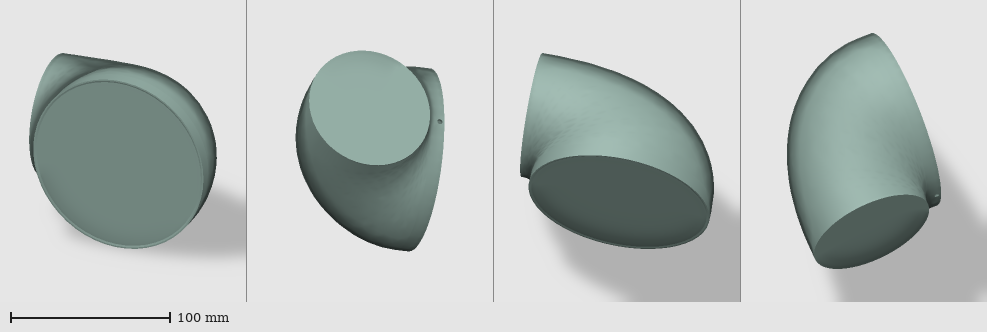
import cadquery as cq

band_diameter = 116.0
band_length = 8.6
band_radius = band_diameter / 2

total_length = 123.5
total_depth = 90.5
collar_diameter = 79.0
collar_length = 1.5
collar_radius = collar_diameter / 2
collar_face_x = band_radius - total_length
collar_inner_x = collar_face_x + collar_length
collar_center_y = total_depth - collar_radius

recess_floor_diameter = 112.0
recess_mouth_diameter = 114.1
recess_depth = 0.5

hole_diameter = 3.3
hole_y = 3.0
hole_depth = (band_diameter - recess_floor_diameter) / 2

inner_handle = 0.55
outer_band_handle = 0.49
outer_collar_handle = 0.7
height_near_collar = 42.0
section_count = 9


def bezier(t, start, start_control, end_control, end):
    """Value of a cubic Bezier curve at t, from 0 to 1."""
    s = 1 - t
    return s**3 * start + 3 * s**2 * t * start_control + 3 * s * t**2 * end_control + t**3 * end


def bend_point(t, band_x, collar_y, band_handle, collar_handle):
    """Point on a side of the bend, leaving the band along Y and meeting the collar along X."""
    span_x = band_x - collar_inner_x
    span_y = collar_y - band_length
    x = bezier(t, band_x, band_x, collar_inner_x + collar_handle * span_x, collar_inner_x)
    y = bezier(t, band_length, band_length + band_handle * span_y, collar_y, collar_y)
    return cq.Vector(x, y, 0)


def bend_section(t):
    """Elliptical section, upright along Z, spanning the inner and outer sides of the bend."""
    inner = bend_point(t, -band_radius, collar_center_y - collar_radius, inner_handle, inner_handle)
    outer = bend_point(t, band_radius, total_depth, outer_band_handle, outer_collar_handle)
    across = outer - inner
    half_width = across.Length / 2
    half_height = bezier(t, band_radius, band_radius, height_near_collar, collar_radius)
    normal = cq.Vector(0, 0, 1).cross(across)
    middle = (inner + outer) / 2
    return cq.Wire.makeEllipse(half_width, half_height, middle, normal, across)


def make_band():
    return cq.Workplane("XZ").circle(band_radius).extrude(-band_length)


def make_collar():
    plane = cq.Workplane("YZ", origin=(collar_face_x, collar_center_y, 0))
    return plane.circle(collar_radius).extrude(collar_length)


def make_bend():
    sections = [bend_section(i / (section_count - 1)) for i in range(section_count)]
    return cq.Workplane(cq.Solid.makeLoft(sections))


def make_recess():
    mouth = cq.Workplane("XZ").circle(recess_mouth_diameter / 2)
    return mouth.workplane(offset=-recess_depth).circle(recess_floor_diameter / 2).loft()


def make_hole():
    plane = cq.Workplane("YZ", origin=(-band_radius, hole_y, 0))
    return plane.circle(hole_diameter / 2).extrude(hole_depth)


body = make_band().union(make_bend()).union(make_collar())
result = body.cut(make_recess()).cut(make_hole())